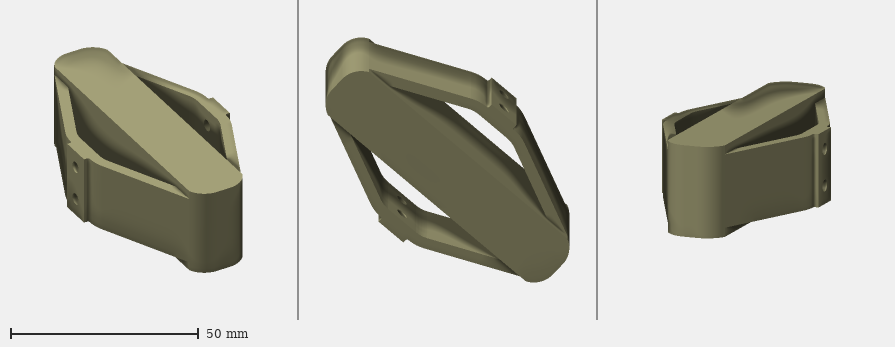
import cadquery as cq
import math

length = 79.0
width = 45.0
height = 25.0

bar_width = 16.4
end_flat_width = 4.0

arm_height = 20.05
arm_thickness = 3.0
arm_angle = math.radians(24.6)
bend_radius = 11.0

pad_width = 8.85
pad_rise = 1.4
pad_fillet = 0.55
hole_diameter = 3.2
hole_spacing = 10.0

end_radius = (bar_width - end_flat_width) / 2 / math.cos(arm_angle)
bar_side_half_length = length / 2 - end_radius * (1 - math.sin(arm_angle))
arm_outer_y = width / 2 - pad_rise
arm_corner_x = bar_side_half_length - (arm_outer_y - bar_width / 2) / math.tan(arm_angle)


def make_bar():
    """Full-height bar whose four corners are arcs ending on the side faces."""
    end_x = length / 2
    side_x = bar_side_half_length
    side_y = bar_width / 2
    flat_y = end_flat_width / 2
    mid_turn = (math.pi / 2 - arm_angle) / 2
    mid_x = end_x - end_radius * (1 - math.cos(mid_turn))
    mid_y = flat_y + end_radius * math.sin(mid_turn)
    return (
        cq.Workplane("XY")
        .moveTo(-side_x, side_y)
        .lineTo(side_x, side_y)
        .threePointArc((mid_x, mid_y), (end_x, flat_y))
        .lineTo(end_x, -flat_y)
        .threePointArc((mid_x, -mid_y), (side_x, -side_y))
        .lineTo(-side_x, -side_y)
        .threePointArc((-mid_x, -mid_y), (-end_x, -flat_y))
        .lineTo(-end_x, flat_y)
        .threePointArc((-mid_x, mid_y), (-side_x, side_y))
        .close()
        .extrude(height / 2, both=True)
    )


def bowed_block(offset, radius):
    """Trapezoid on the +Y side, moved inward by offset, with rounded bends."""
    base_x = bar_side_half_length - offset / math.sin(arm_angle)
    corner_x = arm_corner_x - offset * math.tan(arm_angle / 2)
    base_y = bar_width / 2
    top_y = arm_outer_y - offset
    return (
        cq.Workplane("XY")
        .polyline([(-base_x, base_y), (base_x, base_y), (corner_x, top_y), (-corner_x, top_y)])
        .close()
        .extrude(arm_height / 2, both=True)
        .edges("|Z and >Y")
        .fillet(radius)
    )


def make_pad():
    """Raised pad with a concave fillet along both of its feet."""
    half_width = pad_width / 2
    foot_x = half_width + pad_fillet
    bottom_y = arm_outer_y - arm_thickness / 2
    fillet_y = arm_outer_y + pad_fillet
    arc_offset = pad_fillet * (1 - math.sqrt(0.5))
    arc_x = half_width + arc_offset
    arc_y = arm_outer_y + arc_offset
    return (
        cq.Workplane("XY")
        .moveTo(-foot_x, bottom_y)
        .lineTo(foot_x, bottom_y)
        .lineTo(foot_x, arm_outer_y)
        .threePointArc((arc_x, arc_y), (half_width, fillet_y))
        .lineTo(half_width, width / 2)
        .lineTo(-half_width, width / 2)
        .lineTo(-half_width, fillet_y)
        .threePointArc((-arc_x, arc_y), (-foot_x, arm_outer_y))
        .close()
        .extrude(arm_height / 2, both=True)
    )


def make_arm():
    """Arm on the +Y side with its pad and two through holes."""
    outer = bowed_block(0, bend_radius)
    inner = bowed_block(arm_thickness, bend_radius - arm_thickness)
    holes = (
        cq.Workplane("XZ", origin=(0, width / 2, 0))
        .pushPoints([(0, -hole_spacing / 2), (0, hole_spacing / 2)])
        .circle(hole_diameter / 2)
        .extrude(pad_rise + arm_thickness)
    )
    return outer.cut(inner).union(make_pad()).cut(holes)


arm = make_arm()
result = make_bar().union(arm).union(arm.mirror("XZ"))